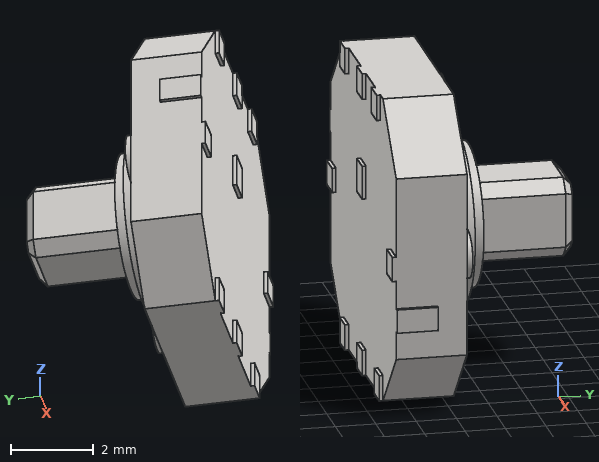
import cadquery as cq

body_width = 7.7
body_depth = 1.75
body_corner = 1.55
half_width = body_width / 2
half_flat = half_width - body_corner

lower_collar_diameter = 4.4
lower_collar_height = 0.55
upper_collar_diameter = 3.59
upper_collar_height = 0.3
post_width = 2.01
post_height = 2.4
post_corner = 0.32
post_tip_chamfer = 0.205

stud_diameter = 1.19
stud_height = 0.2
stud_offset = 3.0

pad_thickness = 0.095
pad_length = 0.65
pad_width = 0.62
corner_pad_width = 0.59
offset_pad_x = 1.69
center_pad_height = 0.84
center_pad_z = 1.075

overall_width = 7.9
tab_thickness = (overall_width - body_width) / 2
tab_width = 0.59
tab_depth = 1.02
tab_offset = 1.3


def plane_at(y):
    """Work plane at depth y: local x is X, local y is Z; negative extrusion goes toward +Y."""
    return cq.Workplane("XZ", origin=(0, y, 0))


def chamfered_block(width, depth, corner, y):
    return plane_at(y).rect(width, width).extrude(-depth).edges("|Y").chamfer(corner)


def disc(diameter, height, y, x=0, z=0):
    return plane_at(y).center(x, z).circle(diameter / 2).extrude(-height)


def pad(x, z, width, height):
    return plane_at(0).center(x, z).rect(width, height).extrude(pad_thickness)


def add_actuator(part):
    upper_collar_y = body_depth + lower_collar_height
    post_y = upper_collar_y + upper_collar_height
    post = chamfered_block(post_width, post_height, post_corner, post_y)
    post = post.faces(">Y").chamfer(post_tip_chamfer)
    part = part.union(disc(lower_collar_diameter, lower_collar_height, body_depth))
    part = part.union(disc(upper_collar_diameter, upper_collar_height, upper_collar_y))
    return part.union(post)


def add_studs(part):
    for side in (-1, 1):
        offset = side * stud_offset
        part = part.union(disc(stud_diameter, stud_height, body_depth, x=offset))
        part = part.union(disc(stud_diameter, stud_height, body_depth, z=offset))
    return part


def add_pads(part):
    edge_center = half_width - pad_length / 2
    corner_x = half_flat - corner_pad_width / 2
    for side in (-1, 1):
        part = part.union(pad(side * edge_center, 0, pad_length, pad_width))
        part = part.union(pad(0, side * edge_center, pad_width, pad_length))
        part = part.union(pad(-corner_x, side * edge_center, corner_pad_width, pad_length))
    part = part.union(pad(corner_x, -edge_center, corner_pad_width, pad_length))
    part = part.union(pad(offset_pad_x, edge_center, pad_width, pad_length))
    return part.union(pad(0, center_pad_z, pad_width, center_pad_height))


def add_tabs(part):
    for side in (-1, 1):
        x = side * (half_width + tab_thickness / 2)
        tab = plane_at(0).center(x, -side * tab_offset).rect(tab_thickness, tab_width)
        part = part.union(tab.extrude(-tab_depth))
    return part


result = chamfered_block(body_width, body_depth, body_corner, 0)
result = add_actuator(result)
result = add_studs(result)
result = add_pads(result)
result = add_tabs(result)